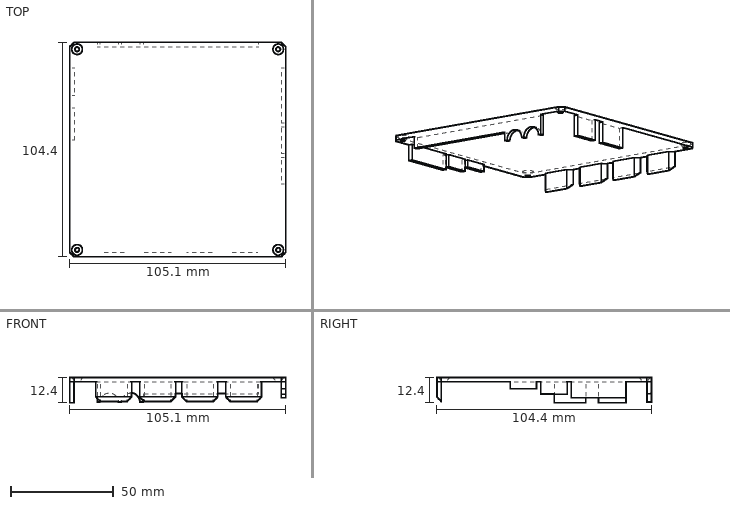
import cadquery as cq

length_x = 105.1
length_y = 104.4
height = 12.4
thickness = 2.2
corner_chamfer = 2.2

hole_diameter = 2.0
countersink_diameter = 5.2
hole_x = 48.9
hole_y = 48.8

front_tab_width = 17.5
front_tab_outer_depth = 9.6
front_tab_starts = (-39.8, -18.5, 2.1, 23.3)

left_tabs = ((26.4, 39.8), (4.8, 20.3))

right_tabs = ((13.1, 39.8, 10.0), (-1.7, 11.1, 8.2), (-16.5, -3.7, 5.7))

arched_tab_start = -39.2
arched_tab_end = -16.8
arched_tab_depth = 12.1
arch_radius = 4.5
arch_centers = (-33.3, -22.9)
shallow_tab_end = 39.2
shallow_tab_depth = 7.9

x_max = length_x / 2
y_max = length_y / 2


def box(x_start, x_end, y_start, y_end, depth):
    """Block from the top face down to the given depth."""
    size_x = x_end - x_start
    size_y = y_end - y_start
    block = cq.Workplane("XY").box(size_x, size_y, depth, centered=False)
    return block.translate((x_start, y_start, -depth))


def front_tab(x_start):
    """Tab whose ends taper inward and whose bottom slopes down toward its inner face."""
    inner_depth = front_tab_outer_depth + thickness
    x_end = x_start + front_tab_width
    y_inner = -y_max + thickness
    plan = [
        (x_start, -y_max),
        (x_end, -y_max),
        (x_end - thickness, y_inner),
        (x_start + thickness, y_inner),
    ]
    side = [
        (-y_max, 0),
        (-y_max, -front_tab_outer_depth),
        (y_inner, -inner_depth),
        (y_inner, 0),
    ]
    mitred_ends = cq.Workplane("XY").polyline(plan).close().extrude(-inner_depth)
    sloped_bottom = (
        cq.Workplane("YZ", origin=(x_start, 0, 0))
        .polyline(side)
        .close()
        .extrude(front_tab_width)
    )
    return mitred_ends.intersect(sloped_bottom)


def back_tabs():
    """Deep tab with two arched cut-outs, joined to the shallow tab beside it."""
    y_inner = y_max - thickness
    tab = box(arched_tab_start, arched_tab_end, y_inner, y_max, arched_tab_depth)
    for x in arch_centers:
        arch = (
            cq.Workplane("XZ", origin=(x, y_max, -arched_tab_depth))
            .circle(arch_radius)
            .extrude(thickness)
        )
        tab = tab.cut(arch)
    return tab.union(box(arched_tab_end, shallow_tab_end, y_inner, y_max, shallow_tab_depth))


result = box(-x_max, x_max, -y_max, y_max, thickness).edges("|Z").chamfer(corner_chamfer)

for tab_start in front_tab_starts:
    result = result.union(front_tab(tab_start))
for tab_start, tab_end in left_tabs:
    result = result.union(box(-x_max, -x_max + thickness, tab_start, tab_end, height))
for tab_start, tab_end, tab_depth in right_tabs:
    result = result.union(box(x_max - thickness, x_max, tab_start, tab_end, tab_depth))
result = result.union(back_tabs())

countersink_radius = countersink_diameter / 2
hole_radius = hole_diameter / 2
countersink = (
    cq.Workplane("XY")
    .circle(countersink_radius)
    .workplane(offset=-thickness)
    .circle(hole_radius)
    .loft()
)
for x in (-hole_x, hole_x):
    for y in (-hole_y, hole_y):
        result = result.cut(countersink.translate((x, y, 0)))